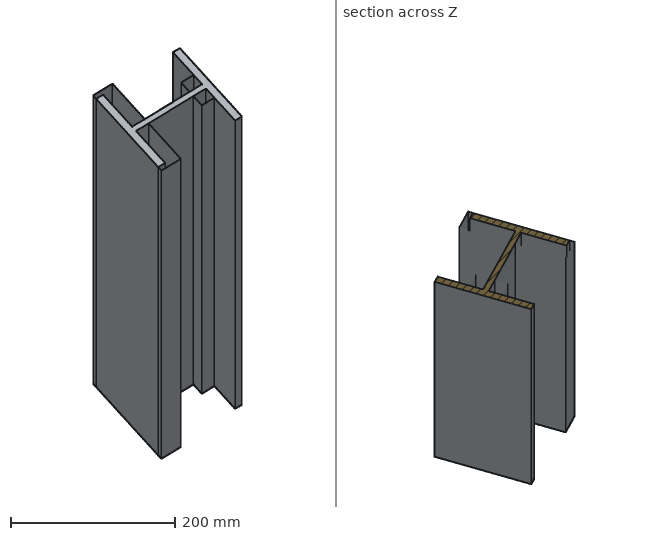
import cadquery as cq

LENGTH = 609.6
DEPTH = 127.0
FLANGE_WIDTH = 127.0
FLANGE_THICKNESS = 10.45
WEB_THICKNESS = 7.9375

SHEET_THICKNESS = 0.02
FRONT_CASING_OVERHANG = 6.35
BACK_CASING_WIDTH = 42.3
CASING_STANDOFF = 19.05

FRONT_CASING_WIDTH = FLANGE_WIDTH + 2 * FRONT_CASING_OVERHANG
FRONT_Y = -DEPTH / 2
BACK_Y = DEPTH / 2
FRONT_FLANGE_INNER_Y = FRONT_Y + FLANGE_THICKNESS
BACK_FLANGE_INNER_Y = BACK_Y - FLANGE_THICKNESS


def bar(width, y_min, y_max):
    """Full-length rectangular bar, centred on X and standing on Z = 0."""
    return cq.Workplane("XY").center(0, (y_min + y_max) / 2).rect(width, y_max - y_min).extrude(LENGTH)


def column():
    """I-section: two flanges joined by a web."""
    front_flange = bar(FLANGE_WIDTH, FRONT_Y, FRONT_FLANGE_INNER_Y)
    back_flange = bar(FLANGE_WIDTH, BACK_FLANGE_INNER_Y, BACK_Y)
    web = bar(WEB_THICKNESS, FRONT_Y, BACK_Y)
    return web.union(front_flange).union(back_flange)


def front_casing():
    """Open-ended rectangular tube around the front flange, flush with its outer face."""
    casing_back_y = FRONT_FLANGE_INNER_Y + CASING_STANDOFF
    cavity_width = FRONT_CASING_WIDTH - 2 * SHEET_THICKNESS
    outer = bar(FRONT_CASING_WIDTH, FRONT_Y, casing_back_y)
    cavity = bar(cavity_width, FRONT_Y + SHEET_THICKNESS, casing_back_y - SHEET_THICKNESS)
    return outer.cut(cavity)


def back_casing():
    """Channel around the web, closed off by the inner face of the back flange."""
    casing_front_y = BACK_FLANGE_INNER_Y - CASING_STANDOFF
    cavity_width = BACK_CASING_WIDTH - 2 * SHEET_THICKNESS
    outer = bar(BACK_CASING_WIDTH, casing_front_y, BACK_FLANGE_INNER_Y)
    cavity = bar(cavity_width, casing_front_y + SHEET_THICKNESS, BACK_FLANGE_INNER_Y)
    return outer.cut(cavity)


result = column().union(front_casing()).union(back_casing())